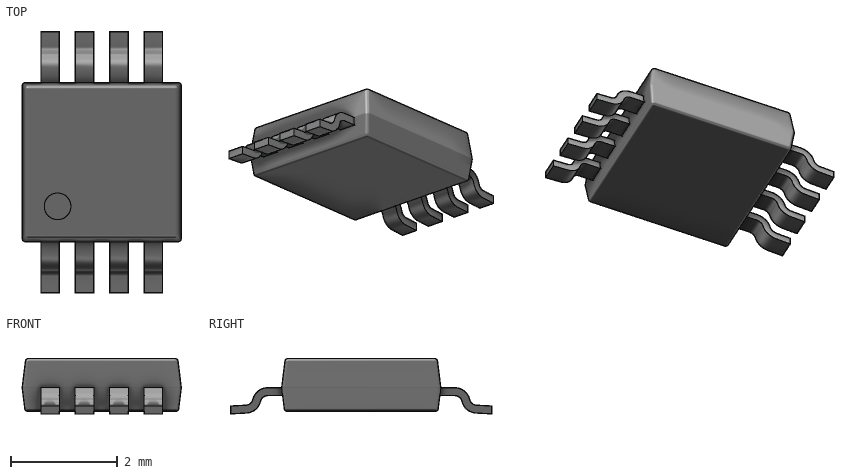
import cadquery as cq
import math

LEAD_SPAN = 4.92
OVERALL_HEIGHT = 1.05

BODY_SIDE = 3.0
BODY_BOTTOM = 0.05
PARTING_Z = 0.495
DRAFT_ANGLE = 7.0
EDGE_RADIUS = 0.065

MARKER_DIAMETER = 0.5
MARKER_DEPTH = 0.03
MARKER_OFFSET = 0.83

LEADS_PER_SIDE = 4
LEAD_PITCH = 0.65
LEAD_WIDTH = 0.35
LEAD_THICKNESS = 0.153
LEAD_TOP = PARTING_Z
LEAD_INSERTION = 0.15
BEND_INNER_RADIUS = 0.14
BEND_OUTER_RADIUS = BEND_INNER_RADIUS + LEAD_THICKNESS
SHOULDER_LENGTH = 0.26
LEG_ANGLE = 72.0
FOOT_ANGLE = 3.0


def make_housing_half(height):
    """Drafted block rising (or dropping, for a negative height) from the parting plane."""
    half = cq.Workplane("XY").rect(BODY_SIDE, BODY_SIDE).extrude(abs(height), taper=DRAFT_ANGLE)
    if height < 0:
        half = half.mirror("XY")
    return half.translate((0, 0, PARTING_Z))


def make_housing_blank():
    upper = make_housing_half(OVERALL_HEIGHT - PARTING_Z)
    lower = make_housing_half(BODY_BOTTOM - PARTING_Z)
    return upper.union(lower).edges().fillet(EDGE_RADIUS)


def make_marker():
    return (
        cq.Workplane("XY", origin=(-MARKER_OFFSET, -MARKER_OFFSET, OVERALL_HEIGHT - MARKER_DEPTH))
        .circle(MARKER_DIAMETER / 2)
        .extrude(MARKER_DEPTH)
    )


def point_on_bend(center, radius, angle):
    """Point on a bend whose surface slopes down by `angle` degrees; a negative radius bends upward."""
    slope = math.radians(angle)
    return (center[0] + radius * math.sin(slope), center[1] + radius * math.cos(slope))


def make_lead(x_center):
    """Lead on the +Y side: shoulder, downward bend, steep leg, upward bend and sloping foot."""
    root_y = BODY_SIDE / 2 - LEAD_INSERTION
    tip_y = LEAD_SPAN / 2
    foot_slope = math.tan(math.radians(FOOT_ANGLE))
    leg_slope = math.tan(math.radians(LEG_ANGLE))
    tip_height = LEAD_THICKNESS / math.cos(math.radians(FOOT_ANGLE))

    upper_center = (BODY_SIDE / 2 + SHOULDER_LENGTH, LEAD_TOP - BEND_OUTER_RADIUS)
    leg_start = point_on_bend(upper_center, BEND_OUTER_RADIUS, LEG_ANGLE)

    leg_rise = BEND_INNER_RADIUS / math.cos(math.radians(LEG_ANGLE))
    foot_rise = BEND_INNER_RADIUS / math.cos(math.radians(FOOT_ANGLE))
    leg_at_zero = leg_start[1] + leg_slope * leg_start[0] + leg_rise
    foot_at_zero = tip_height + foot_slope * tip_y + foot_rise
    lower_y = (leg_at_zero - foot_at_zero) / (leg_slope - foot_slope)
    lower_center = (lower_y, foot_at_zero - foot_slope * lower_y)

    middle_of_lower_bend = (LEG_ANGLE + FOOT_ANGLE) / 2
    profile = (
        cq.Workplane("YZ")
        .moveTo(root_y, LEAD_TOP)
        .lineTo(upper_center[0], LEAD_TOP)
        .threePointArc(point_on_bend(upper_center, BEND_OUTER_RADIUS, LEG_ANGLE / 2), leg_start)
        .lineTo(*point_on_bend(lower_center, -BEND_INNER_RADIUS, LEG_ANGLE))
        .threePointArc(
            point_on_bend(lower_center, -BEND_INNER_RADIUS, middle_of_lower_bend),
            point_on_bend(lower_center, -BEND_INNER_RADIUS, FOOT_ANGLE),
        )
        .lineTo(tip_y, tip_height)
        .lineTo(tip_y, 0)
        .lineTo(*point_on_bend(lower_center, -BEND_OUTER_RADIUS, FOOT_ANGLE))
        .threePointArc(
            point_on_bend(lower_center, -BEND_OUTER_RADIUS, middle_of_lower_bend),
            point_on_bend(lower_center, -BEND_OUTER_RADIUS, LEG_ANGLE),
        )
        .lineTo(*point_on_bend(upper_center, BEND_INNER_RADIUS, LEG_ANGLE))
        .threePointArc(
            point_on_bend(upper_center, BEND_INNER_RADIUS, LEG_ANGLE / 2),
            (upper_center[0], LEAD_TOP - LEAD_THICKNESS),
        )
        .lineTo(root_y, LEAD_TOP - LEAD_THICKNESS)
        .close()
    )
    return profile.extrude(LEAD_WIDTH / 2, both=True).translate((x_center, 0, 0))


def make_leads():
    leads = []
    for index in range(LEADS_PER_SIDE):
        x_center = (index - (LEADS_PER_SIDE - 1) / 2) * LEAD_PITCH
        lead = make_lead(x_center)
        leads.append(lead)
        leads.append(lead.mirror("XZ"))
    return leads


marker = make_marker()
leads = make_leads()

housing = make_housing_blank().cut(marker)
for lead in leads:
    housing = housing.cut(lead)

result = cq.Compound.makeCompound([housing.val(), marker.val(), *[lead.val() for lead in leads]])